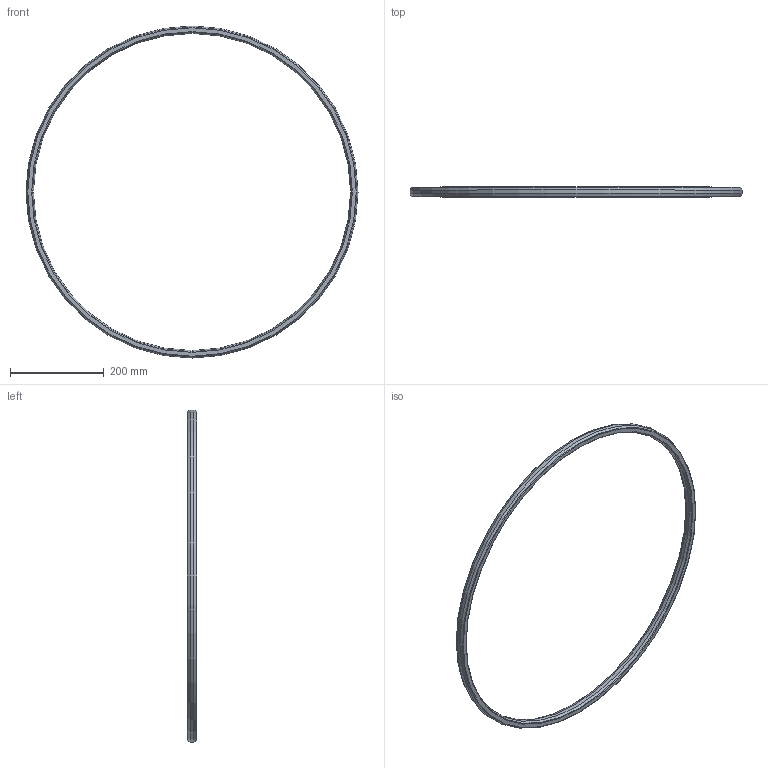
import math

import cadquery as cq

outer_diameter = 708.02
ring_width = 15.88
ring_height = 20.64
end_flat_width = ring_height / 2
seat_angle = 23.0
end_corner_radius = 1.5875

pitch_radius = (outer_diameter - ring_width) / 2
half_width = ring_width / 2
half_height = ring_height / 2
half_end_flat = end_flat_width / 2
seat_length = (half_width - half_end_flat) / math.tan(math.radians(seat_angle))
half_wall = half_height - seat_length


def octagonal_section():
    """Section at the pitch radius, with X radial and Y along the ring axis."""
    return (
        cq.Workplane("XY")
        .center(pitch_radius, 0)
        .moveTo(half_end_flat, half_height)
        .lineTo(half_width, half_wall)
        .lineTo(half_width, -half_wall)
        .lineTo(half_end_flat, -half_height)
        .lineTo(-half_end_flat, -half_height)
        .lineTo(-half_width, -half_wall)
        .lineTo(-half_width, half_wall)
        .lineTo(-half_end_flat, half_height)
        .close()
    )


def gasket_ring():
    """Revolve the section about the Y axis and round the edges of both end flats."""
    axis_start = (-pitch_radius, 0)
    axis_end = (-pitch_radius, 1)
    ring = octagonal_section().revolve(360, axis_start, axis_end)
    return ring.faces("<Y or >Y").edges().fillet(end_corner_radius)


result = gasket_ring()